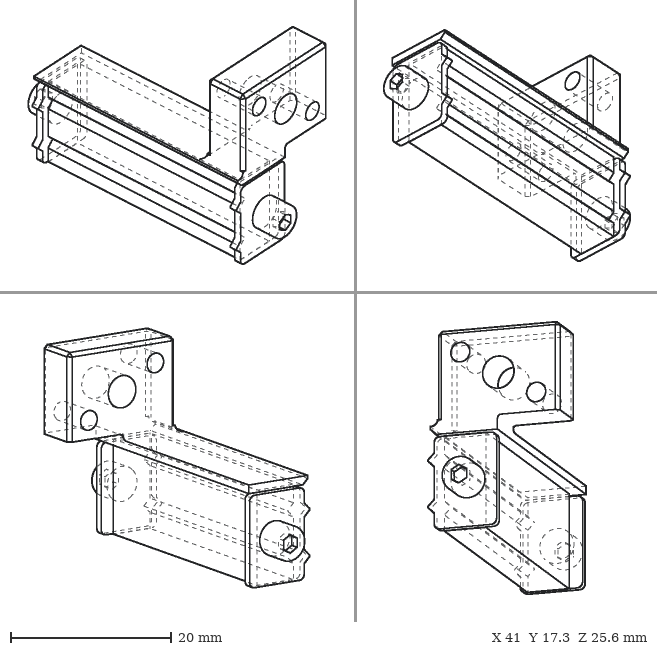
import cadquery as cq
import math


overall_length = 41
screw_head_length = 3.5
plate_thickness = 1.02
carriage_length = overall_length - 2 * screw_head_length
core_length = carriage_length - 2 * plate_thickness
carriage_end = carriage_length / 2

plate_front = 0.8
plate_back = 9.05
plate_bottom = 0.05
plate_top = 11.95
plate_corner_radius = 0.75
tooth_tip_radius = 0.15
tooth_apex = -tooth_tip_radius * (math.sqrt(2) - 1)
tooth_half_height = plate_front - tooth_apex
tooth_root_radius = 0.12

axis_height = (plate_bottom + plate_top) / 2
v_offset = 3.0
v_heights = [axis_height - v_offset, axis_height + v_offset]

core_front = 1.8
core_back = 7.3
groove_half_height = 0.9
groove_depth = groove_half_height

flange_front = 0.3
flange_back = 9.2
flange_bottom = 12.25
flange_top = 13.35
flange_chamfer = 0.75

block_thickness = 6.0
block_front = 1.27
block_back = 17.3
block_top = 25.6
block_chamfer = 0.5
block_left = carriage_end - block_thickness
cove_radius = 0.78
block_bottom = flange_top + cove_radius
back_cove_radius = 0.5

center_hole_diameter = 4.15
side_hole_diameter = 2.5
center_hole_drop = 6.0
side_hole_offset_y = 5.0
side_hole_offset_z = 3.0
hole_center_y = (block_front + block_back) / 2
hole_center_z = block_top - center_hole_drop

screw_head_diameter = 4.5
screw_rim_radius = 0.2
socket_across_flats = 2.05
socket_depth = 1.25
screw_y = 5.3


def box(x_range, y_range, z_range):
    """Box between the given limits on each axis."""
    size = [high - low for low, high in (x_range, y_range, z_range)]
    return cq.Workplane("XY").box(*size, centered=False).translate((x_range[0], y_range[0], z_range[0]))


def extrude_along_x(outline, start, length):
    """Extrude a closed (Y, Z) outline along X from the given start."""
    return cq.Workplane("YZ", origin=(start, 0, 0)).polyline(outline).close().extrude(length)


def make_core():
    """Central bar with two V grooves along its front face."""
    core = box((-core_length / 2, core_length / 2), (core_front, core_back), (0, flange_bottom))
    for z in v_heights:
        groove = [
            (core_front, z - groove_half_height),
            (core_front + groove_depth, z),
            (core_front, z + groove_half_height),
        ]
        core = core.cut(extrude_along_x(groove, -core_length / 2, core_length))
    return core


def make_flange():
    """Top flange, chamfered along its lower front edge."""
    outline = [
        (flange_front, flange_top),
        (flange_back, flange_top),
        (flange_back, flange_bottom),
        (flange_front + flange_chamfer, flange_bottom),
        (flange_front, flange_bottom + flange_chamfer),
    ]
    return extrude_along_x(outline, -carriage_end, carriage_length)


def cove_profile(plane, wall, far_end):
    """Pedestal outline whose wall flares into the flange through a concave arc."""
    arc_center = (wall - cove_radius, block_bottom)
    arc_reach = cove_radius * math.sqrt(0.5)
    return (
        cq.Workplane(plane)
        .moveTo(wall, block_bottom)
        .threePointArc((arc_center[0] + arc_reach, arc_center[1] - arc_reach), (arc_center[0], flange_top))
        .lineTo(far_end, flange_top)
        .lineTo(far_end, block_bottom)
        .close()
    )


def make_pedestal():
    """Foot of the mounting block, with mitred coves on its left and front sides."""
    left_cove = cove_profile("XZ", block_left, carriage_end).extrude(-flange_back)
    front_cove = cove_profile("YZ", block_front, flange_back).extrude(carriage_end)
    return left_cove.intersect(front_cove)


def make_back_cove():
    """Fillet between the back of the pedestal and the overhanging underside of the block."""
    strip = box(
        (block_left, carriage_end),
        (flange_back, flange_back + back_cove_radius),
        (block_bottom - back_cove_radius, block_bottom),
    )
    arc_center = (block_left, flange_back + back_cove_radius, block_bottom - back_cove_radius)
    hollow = cq.Workplane("YZ", origin=arc_center).circle(back_cove_radius).extrude(block_thickness)
    return strip.cut(hollow)


def make_mounting_block():
    """Upright block with chamfered side and top edges and three through holes."""
    block = (
        box((block_left, carriage_end), (block_front, block_back), (block_bottom, block_top))
        .edges("|Z or >Z")
        .chamfer(block_chamfer)
    )
    holes = [
        (hole_center_y, hole_center_z, center_hole_diameter),
        (hole_center_y - side_hole_offset_y, hole_center_z + side_hole_offset_z, side_hole_diameter),
        (hole_center_y + side_hole_offset_y, hole_center_z - side_hole_offset_z, side_hole_diameter),
    ]
    for y, z, diameter in holes:
        hole = cq.Workplane("YZ", origin=(block_left, y, z)).circle(diameter / 2).extrude(block_thickness)
        block = block.cut(hole)
    return block


def make_carriage():
    """Core, flange, pedestal, back cove and mounting block as one solid."""
    carriage = make_core().union(make_flange())
    carriage = carriage.union(make_pedestal()).union(make_back_cove())
    return carriage.union(make_mounting_block())


def make_end_plate(start):
    """Rounded end plate with two round-tipped V teeth on its front edge."""
    plate = (
        box((start, start + plate_thickness), (plate_front, plate_back), (plate_bottom, plate_top))
        .edges("|X")
        .fillet(plate_corner_radius)
    )
    for z in v_heights:
        tooth = [
            (plate_front, z - tooth_half_height),
            (tooth_apex, z),
            (plate_front, z + tooth_half_height),
        ]
        sharp_tooth = extrude_along_x(tooth, start, plate_thickness)
        plate = plate.union(sharp_tooth.edges("|X and <Y").fillet(tooth_tip_radius))
    root_heights = [z + side * tooth_half_height for z in v_heights for side in (-1, 1)]
    for z in root_heights:
        root = cq.NearestToPointSelector((start + plate_thickness / 2, plate_front, z))
        plate = plate.edges("|X").edges(root).fillet(tooth_root_radius)
    return plate


def make_screw(side):
    """Socket head seated on the end plate at the given side (-1 left, 1 right)."""
    seat = cq.Plane(origin=(side * carriage_end, screw_y, axis_height), xDir=(0, 0, 1), normal=(side, 0, 0))
    socket_corner_diameter = socket_across_flats / math.cos(math.pi / 6)
    head = (
        cq.Workplane(seat)
        .circle(screw_head_diameter / 2)
        .extrude(screw_head_length)
        .faces("<X" if side < 0 else ">X")
        .fillet(screw_rim_radius)
    )
    socket = (
        cq.Workplane(seat)
        .workplane(offset=screw_head_length - socket_depth)
        .polygon(6, socket_corner_diameter)
        .extrude(socket_depth)
    )
    return head.cut(socket)


carriage = make_carriage()
end_plates = [make_end_plate(start) for start in (-carriage_end, core_length / 2)]
screws = [make_screw(side) for side in (-1, 1)]

bodies = [carriage, *end_plates, *screws]
result = cq.Compound.makeCompound([body.val() for body in bodies])